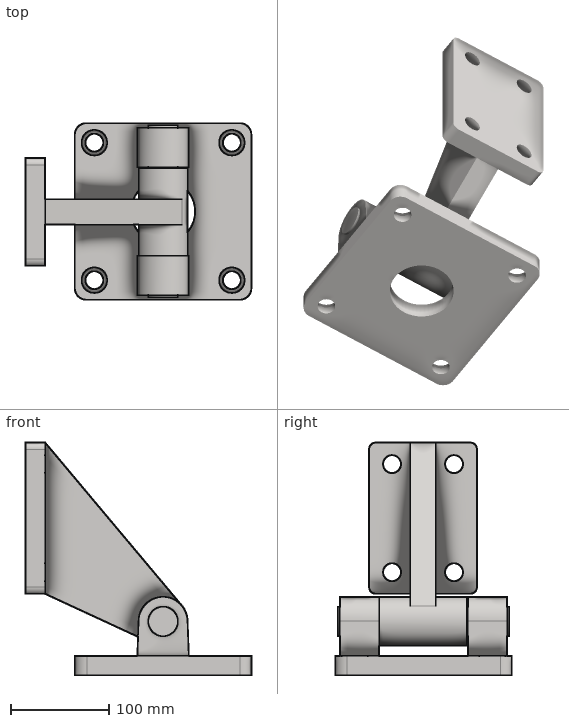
import cadquery as cq
import math

base_side = 180.0
plate_thickness = 20.0
base_corner_radius = 12.0
base_hole_offset = 70.0
bolt_diameter = 18.0
counterbore_diameter = 26.0
counterbore_depth = 10.0
centre_hole_diameter = 65.0

axis_height = plate_thickness + 35.0
barrel_radius = 50.0 / 2
pin_diameter = 30.0
pin_length = 175.0

lug_foot_width = 52.5
lug_inner = 45.0
lug_outer = 85.0

overall_length = 230.0
overall_height = 237.0
mount_height = 154.0
mount_width = 110.0
mount_corner_radius = 7.0
mount_hole_spacing_y = 63.0
mount_hole_spacing_z = 110.0
web_thickness = 26.0
side_play = 1.0
arm_shift = -side_play / 2
barrel_length = 2 * lug_inner - side_play

mount_outer_x = base_side / 2 - overall_length
mount_inner_x = mount_outer_x + plate_thickness
mount_bottom = overall_height - mount_height
mount_centre_z = overall_height - mount_height / 2


def tangent_point(x, z, side):
    """Point where a line from (x, z) touches the barrel; side +1 or -1 picks the tangent."""
    dx = x
    dz = z - axis_height
    angle = math.atan2(dz, dx) + side * math.acos(barrel_radius / math.hypot(dx, dz))
    return barrel_radius * math.cos(angle), axis_height + barrel_radius * math.sin(angle)


def y_extrusion(profile, y_start, y_end):
    """Extrude an XZ profile function between two Y positions."""
    plane = cq.Workplane("XZ", origin=(0, y_start, 0))
    return profile(plane).extrude(y_start - y_end)


def y_cylinder(diameter, length, y_centre):
    return y_extrusion(
        lambda plane: plane.center(0, axis_height).circle(diameter / 2),
        y_centre - length / 2,
        y_centre + length / 2,
    )


def lug_profile(plane):
    half_foot = lug_foot_width / 2
    x, z = tangent_point(half_foot, plate_thickness, 1)
    return (
        plane.moveTo(-half_foot, plate_thickness)
        .lineTo(half_foot, plate_thickness)
        .lineTo(x, z)
        .threePointArc((0, axis_height + barrel_radius), (-x, z))
        .close()
    )


def web_profile(plane):
    upper = tangent_point(mount_inner_x, overall_height, -1)
    lower = tangent_point(mount_inner_x, mount_bottom, 1)
    return plane.polyline([
        (mount_inner_x, overall_height),
        upper,
        (0, axis_height),
        lower,
        (mount_inner_x, mount_bottom),
    ]).close()


def make_base():
    plate = (
        cq.Workplane("XY")
        .rect(base_side, base_side)
        .extrude(plate_thickness)
        .edges("|Z")
        .fillet(base_corner_radius)
    )
    plate = (
        plate.faces(">Z").workplane()
        .rect(2 * base_hole_offset, 2 * base_hole_offset, forConstruction=True)
        .vertices()
        .cboreHole(bolt_diameter, counterbore_diameter, counterbore_depth)
    )
    plate = plate.faces(">Z").workplane().hole(centre_hole_diameter)
    for y_start, y_end in [(-lug_outer, -lug_inner), (lug_inner, lug_outer)]:
        plate = plate.union(y_extrusion(lug_profile, y_start, y_end))
    return plate.cut(y_cylinder(pin_diameter, pin_length, 0))


def make_mounting_plate():
    return (
        cq.Workplane("YZ", origin=(mount_outer_x, arm_shift, mount_centre_z))
        .rect(mount_width, mount_height)
        .extrude(plate_thickness)
        .edges("|X")
        .fillet(mount_corner_radius)
        .faces("<X").workplane(origin=(mount_outer_x, arm_shift, mount_centre_z))
        .rect(mount_hole_spacing_y, mount_hole_spacing_z, forConstruction=True)
        .vertices()
        .hole(bolt_diameter)
    )


def make_arm():
    """Mounting plate, web, barrel and the pin ends that turn in the lugs."""
    web = y_extrusion(
        web_profile,
        arm_shift - web_thickness / 2,
        arm_shift + web_thickness / 2,
    )
    barrel = y_cylinder(2 * barrel_radius, barrel_length, arm_shift)
    pin = y_cylinder(pin_diameter, pin_length, 0)
    return make_mounting_plate().union(web).union(barrel).union(pin)


base = make_base()
arm = make_arm()

result = cq.Compound.makeCompound([base.val(), arm.val()])